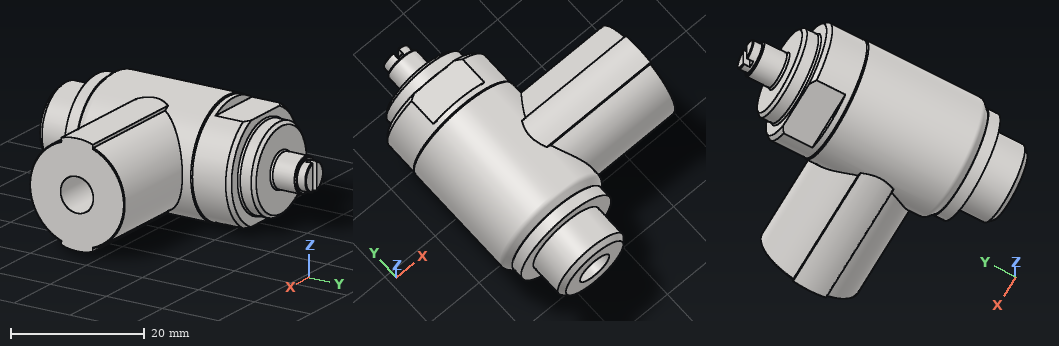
import cadquery as cq
import math

LENGTH = 45.3

SPIGOT_R = 13.15 / 2
SPIGOT_TIP_R = 11.45 / 2
SPIGOT_CHAMFER_LENGTH = 0.9
COLLAR_R = 18.0 / 2
COLLAR_START = 6.5
COLLAR_END = 8.5

BODY_R = 20.0 / 2
BODY_END = 29.65
BODY_BLEND_R = 1.0
CONE_START_R = 8.8

CAP_R = 19.8 / 2
CAP_START = 29.9
CAP_END = 36.5
CAP_CHAMFER_LENGTH = 0.7
CAP_CHAMFER_DEPTH = 0.55
FLATS_START = 30.9
ACROSS_FLATS = 17.0

SHOULDER_R = 15.0 / 2
SHOULDER_END = 39.35
SHOULDER_CHAMFER = 0.55
STEM_R = 5.9 / 2
STEM_END = 43.75
STEM_CHAMFER = 0.2
TIP_R = 4.9 / 2
TIP_CHAMFER = 0.15
FLARE_LENGTH = 0.35
FLARE_DEPTH = 0.2
SLOT_WIDTH = 1.05
SLOT_DEPTH = 1.15

BRANCH_Y = 19.7
BRANCH_R = 16.95 / 2
BRANCH_END = 36.0 - BODY_R
BRANCH_CHAMFER = 0.15
RAIL_R = 18.0 / 2
RAIL_WIDTH = 5.65

BORE_R = 5.85 / 2


def turned_body():
    """Revolve the stepped profile, given as (radius, y), about the Y axis."""
    cone_end = COLLAR_END + BODY_R - CONE_START_R
    blend_reach = BODY_BLEND_R * math.tan(math.radians(22.5))
    blend_step = blend_reach * math.sin(math.radians(45))
    blend_end = cone_end + blend_reach
    mid_r = BODY_R - BODY_BLEND_R * (1 - math.cos(math.radians(22.5)))
    mid_y = blend_end - BODY_BLEND_R * math.sin(math.radians(22.5))

    profile = (
        cq.Workplane("XY")
        .lineTo(SPIGOT_TIP_R, 0)
        .lineTo(SPIGOT_R, SPIGOT_CHAMFER_LENGTH)
        .lineTo(SPIGOT_R, COLLAR_START)
        .lineTo(COLLAR_R, COLLAR_START)
        .lineTo(COLLAR_R, COLLAR_END)
        .lineTo(CONE_START_R, COLLAR_END)
        .lineTo(BODY_R - blend_step, cone_end - blend_step)
        .threePointArc((mid_r, mid_y), (BODY_R, blend_end))
        .lineTo(BODY_R, BODY_END)
        .lineTo(CAP_R, CAP_START)
        .lineTo(CAP_R, CAP_END - CAP_CHAMFER_LENGTH)
        .lineTo(CAP_R - CAP_CHAMFER_DEPTH, CAP_END)
        .lineTo(SHOULDER_R + FLARE_DEPTH, CAP_END)
        .lineTo(SHOULDER_R, CAP_END + FLARE_LENGTH)
        .lineTo(SHOULDER_R, SHOULDER_END - SHOULDER_CHAMFER)
        .lineTo(SHOULDER_R - SHOULDER_CHAMFER, SHOULDER_END)
        .lineTo(STEM_R + FLARE_DEPTH, SHOULDER_END)
        .lineTo(STEM_R, SHOULDER_END + FLARE_LENGTH)
        .lineTo(STEM_R, STEM_END - STEM_CHAMFER)
        .lineTo(STEM_R - STEM_CHAMFER, STEM_END)
        .lineTo(TIP_R, STEM_END)
        .lineTo(TIP_R, LENGTH - TIP_CHAMFER)
        .lineTo(TIP_R - TIP_CHAMFER, LENGTH)
        .lineTo(0, LENGTH)
        .close()
    )
    return profile.revolve(360, (0, 0, 0), (0, 1, 0))


def x_cylinder(radius, length):
    """Cylinder along +X, starting on the main axis at the branch height."""
    return cq.Workplane("YZ").center(BRANCH_Y, 0).circle(radius).extrude(length)


def branch():
    """Round branch with arched rails along its top and bottom."""
    tube = x_cylinder(BRANCH_R, BRANCH_END).faces(">X").chamfer(BRANCH_CHAMFER)
    rail_slab = (
        cq.Workplane("YZ").center(BRANCH_Y, 0)
        .rect(RAIL_WIDTH, 2 * RAIL_R).extrude(BRANCH_END)
    )
    rails = x_cylinder(RAIL_R, BRANCH_END).intersect(rail_slab)
    return tube.union(rails)


def wrench_flat_cut(side):
    """Block outside one flat; side is +1 above the axis or -1 below it."""
    thickness = CAP_R - ACROSS_FLATS / 2
    return (
        cq.Workplane("XY")
        .box(2 * CAP_R, CAP_END - FLATS_START, thickness)
        .translate((0, (FLATS_START + CAP_END) / 2, side * (ACROSS_FLATS + thickness) / 2))
    )


def screwdriver_slot():
    """Slot across the stem tip, running along Z."""
    return (
        cq.Workplane("XY")
        .box(SLOT_WIDTH, SLOT_DEPTH, 2 * TIP_R)
        .translate((0, LENGTH - SLOT_DEPTH / 2, 0))
    )


def elbow_inlet():
    """Bore from the spigot with a spherical end centred on the branch axis."""
    profile = (
        cq.Workplane("XY")
        .lineTo(BORE_R, 0)
        .lineTo(BORE_R, BRANCH_Y)
        .radiusArc((0, BRANCH_Y + BORE_R), -BORE_R)
        .close()
    )
    return profile.revolve(360, (0, 0, 0), (0, 1, 0))


result = turned_body().union(branch())
for flat_side in (1, -1):
    result = result.cut(wrench_flat_cut(flat_side))
result = result.cut(screwdriver_slot())

result = result.cut(elbow_inlet()).cut(x_cylinder(BORE_R, BRANCH_END))